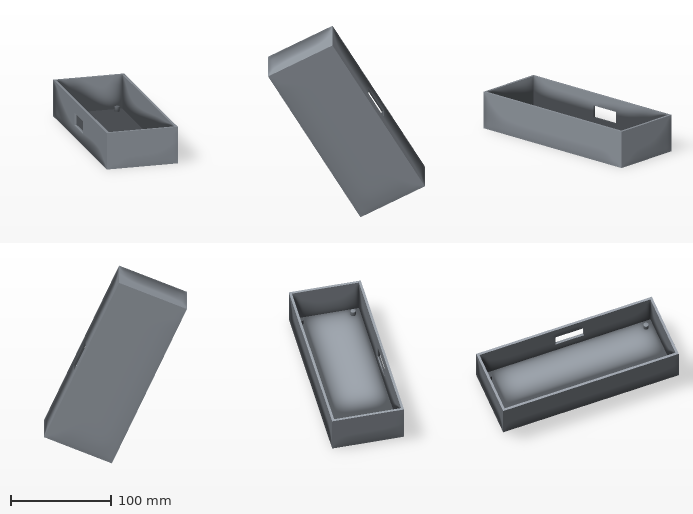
import cadquery as cq

length = 187.96
width = 73.66
height = 38.1
wall = 2.54
floor_thickness = 2.54

post_diameter = 5.08
post_height = 5.08
post_inset = 10.16

window_length = 30.48
window_height = 12.7
window_left = 73.66
window_bottom = 12.7


def open_box():
    """Tray with an open top; one lower corner sits at the origin."""
    body = cq.Workplane("XY").box(length, width, height, centered=False)
    cavity = (
        cq.Workplane("XY")
        .box(length - 2 * wall, width - 2 * wall, height - floor_thickness, centered=False)
        .translate((wall, wall, floor_thickness))
    )
    return body.cut(cavity)


def posts():
    """Four cylindrical standoffs, rooted in the floor near the corners."""
    return (
        cq.Workplane("XY")
        .center(length / 2, width / 2)
        .rect(length - 2 * post_inset, width - 2 * post_inset, forConstruction=True)
        .vertices()
        .circle(post_diameter / 2)
        .extrude(floor_thickness + post_height)
    )


def window():
    """Cutter for the opening in the front (-Y) wall."""
    return (
        cq.Workplane("XY")
        .box(window_length, wall, window_height, centered=False)
        .translate((window_left, 0, window_bottom))
    )


result = open_box().union(posts()).cut(window())